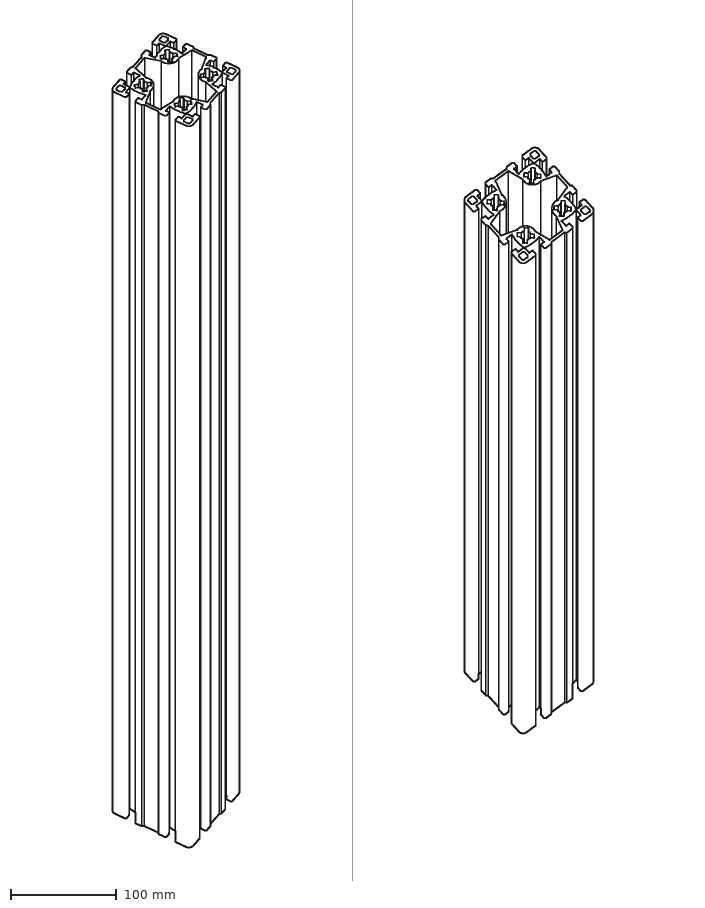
import cadquery as cq
import math

length = 1000.0
side = 90.0
side_count = 4
half = side / 2
corner_radius = 5.0

slot_offset = side / 4
slot_opening = 10.0
lip_radius = 1.5
lip_thickness = 6.0
chamber_width = 18.0
chamber_depth = 13.0
crown_width = 7.0
crown_depth = 12.0

bore_diameter = 9.5
notch_span = 16.0
notch_width = 4.0
notch_angles = (45, 135)

groove_width = 19.0
groove_floor_width = 16.0
groove_depth = 1.5

boss_radius = 10.0
web_thickness = 3.0
arm_end = half - groove_depth - web_thickness
arm_end_half_width = 8.0
boss_touch_angle = math.radians(165)

corner_wall = 3.5
corner_hollow_width = 7.0
corner_hollow_radius = 1.5


def prism(profile):
    """Extrude a closed profile over the full bar length."""
    return profile.extrude(length)


def slot_cutter(x_center):
    """T-slot through the +Y side: flared mouth, wide chamber and a raised floor crown."""
    mouth = slot_opening / 2
    chamber = chamber_width / 2
    lip_bottom = half - lip_thickness
    floor = half - chamber_depth
    crown = crown_width / 2
    crown_top = half - crown_depth
    arc_drop = lip_radius * (1 - math.sqrt(0.5))
    outline = (
        cq.Workplane("XY")
        .center(x_center, 0)
        .moveTo(-mouth - lip_radius, half)
        .threePointArc((-mouth - arc_drop, half - arc_drop), (-mouth, half - lip_radius))
        .lineTo(-mouth, lip_bottom)
        .lineTo(-chamber, lip_bottom)
        .lineTo(-chamber, floor)
        .lineTo(-crown, crown_top)
        .lineTo(crown, crown_top)
        .lineTo(chamber, floor)
        .lineTo(chamber, lip_bottom)
        .lineTo(mouth, lip_bottom)
        .lineTo(mouth, half - lip_radius)
        .threePointArc((mouth + arc_drop, half - arc_drop), (mouth + lip_radius, half))
    )
    return prism(outline.close())


def groove_cutter():
    """Shallow groove with sloping sides in the middle of the +Y side."""
    outline = [
        (-groove_width / 2, half),
        (-groove_floor_width / 2, half - groove_depth),
        (groove_floor_width / 2, half - groove_depth),
        (groove_width / 2, half),
    ]
    return prism(cq.Workplane("XY").polyline(outline).close())


def corner_cutter():
    """Square hollow with rounded edges in the +X +Y corner."""
    center = half - corner_wall - corner_hollow_width / 2
    hollow = prism(cq.Workplane("XY").center(center, center).rect(corner_hollow_width, corner_hollow_width))
    return hollow.edges("|Z").fillet(corner_hollow_radius)


def bore_cutter():
    """Round bore with diagonal notches in the +X +Y quarter."""
    center = cq.Workplane("XY").center(slot_offset, slot_offset)
    bore = prism(center.circle(bore_diameter / 2))
    for angle in notch_angles:
        bore = bore.union(prism(center.transformed(rotate=(0, 0, angle)).rect(notch_span, notch_width)))
    return bore


def rotated(point, quarter_turns):
    """Turn a point about the bar axis by quarter turns, counterclockwise."""
    x, y = point
    for _ in range(quarter_turns):
        x, y = -y, x
    return x, y


def central_hollow():
    """Cross-shaped hollow whose four inner corners wrap around the bosses."""
    touch = (
        slot_offset + boss_radius * math.cos(boss_touch_angle),
        slot_offset + boss_radius * math.sin(boss_touch_angle),
    )
    inner = slot_offset - boss_radius * math.sqrt(0.5)
    outline = cq.Workplane("XY").moveTo(arm_end, -arm_end_half_width)
    for turn in range(side_count):
        outline = (
            outline.lineTo(*rotated((arm_end, arm_end_half_width), turn))
            .lineTo(*rotated((touch[1], touch[0]), turn))
            .threePointArc(rotated((inner, inner), turn), rotated(touch, turn))
            .lineTo(*rotated((arm_end_half_width, arm_end), turn))
        )
    return prism(outline.close())


bar = prism(cq.Workplane("XY").rect(side, side)).edges("|Z").fillet(corner_radius)
bar = bar.cut(central_hollow())

side_cutters = [
    slot_cutter(-slot_offset),
    slot_cutter(slot_offset),
    groove_cutter(),
    corner_cutter(),
    bore_cutter(),
]
for turn in range(side_count):
    for cutter in side_cutters:
        bar = bar.cut(cutter.rotate((0, 0, 0), (0, 0, 1), turn * 360 / side_count))

result = bar